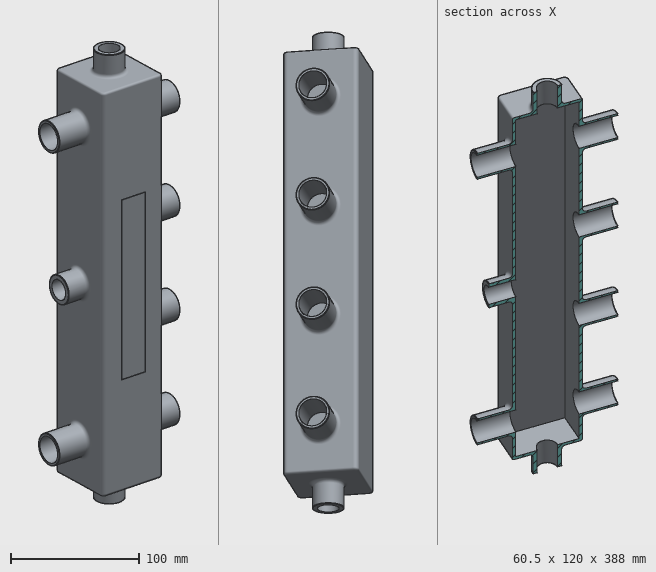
import cadquery as cq

total_width = 60.5
total_depth = 120.0
total_length = 388.0

pad_thickness = 0.55
body_width = total_width - pad_thickness
body_length = 348.0
corner_radius = 4.0
end_edge_radius = 2.0
wall = 3.0

pad_width = 23.3
pad_length = 155.2

large_diameter = 26.8
large_bore = 22.0
large_length = (total_depth - body_width) / 2
small_diameter = 25.0
small_bore = 17.0
small_length = (total_length - body_length) / 2
weld_radius = 3.0
rim_chamfer = 0.5

outlet_pitch = 90.0
rear_outlet_count = 4
first_outlet_z = -outlet_pitch * (rear_outlet_count - 1) / 2
rear_outlets = [first_outlet_z + i * outlet_pitch for i in range(rear_outlet_count)]
front_outlets = [rear_outlets[0], rear_outlets[-1]]

half_width = body_width / 2
half_length = body_length / 2


def make_body():
    """Solid square bar with rounded long edges and softened end edges."""
    bar = cq.Workplane("XY").box(body_width, body_width, body_length)
    bar = bar.edges("|Z").fillet(corner_radius)
    return bar.faces("<Z or >Z").edges().fillet(end_edge_radius)


def make_pad():
    """Thin plate on the +X face, rooted in the tube wall."""
    thickness = wall + pad_thickness
    center_x = half_width + pad_thickness - thickness / 2
    return cq.Workplane("XY").box(thickness, pad_width, pad_length).translate((center_x, 0, 0))


def make_cavity():
    """Inner volume left by the tube wall."""
    inner_width = body_width - 2 * wall
    return cq.Workplane("XY").box(inner_width, inner_width, body_length - 2 * wall)


def make_stub(foot, direction, diameter, length):
    """Solid pipe on a body face, with a concave weld at its foot and a chamfered rim."""
    radius = diameter / 2
    weld_foot = radius + weld_radius
    profile = (
        cq.Workplane("XZ")
        .moveTo(0, -wall)
        .lineTo(weld_foot, -wall)
        .lineTo(weld_foot, 0)
        .radiusArc((radius, weld_radius), weld_radius)
        .lineTo(radius, length - rim_chamfer)
        .lineTo(radius - rim_chamfer, length)
        .lineTo(0, length)
        .close()
    )
    stub = profile.revolve(360, (0, 0, 0), (0, 1, 0)).val()
    return cq.Workplane(stub.moved(cq.Plane(origin=foot, normal=direction).location))


def make_bore(foot, direction, diameter, length):
    """Round bore from the stub rim through the wall into the cavity."""
    plane = cq.Plane(origin=foot, normal=direction)
    depth_below_foot = 2 * wall
    start = cq.Workplane(plane).workplane(offset=-depth_below_foot)
    return start.circle(diameter / 2).extrude(length + depth_below_foot)


large_places = [((0, half_width, z), (0, 1, 0)) for z in rear_outlets]
large_places += [((0, -half_width, z), (0, -1, 0)) for z in front_outlets]
small_places = [
    ((0, 0, half_length), (0, 0, 1)),
    ((0, 0, -half_length), (0, 0, -1)),
    ((0, -half_width, 0), (0, -1, 0)),
]

result = make_body().union(make_pad())
for foot, direction in large_places:
    result = result.union(make_stub(foot, direction, large_diameter, large_length))
for foot, direction in small_places:
    result = result.union(make_stub(foot, direction, small_diameter, small_length))

result = result.cut(make_cavity())
for foot, direction in large_places:
    result = result.cut(make_bore(foot, direction, large_bore, large_length))
for foot, direction in small_places:
    result = result.cut(make_bore(foot, direction, small_bore, small_length))